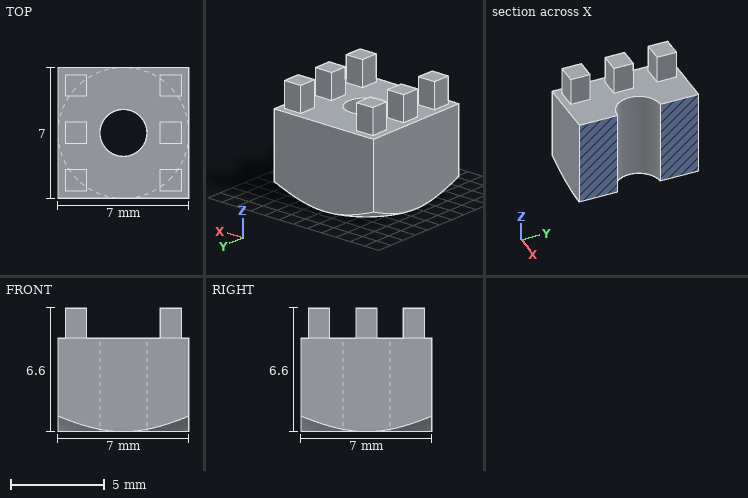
import cadquery as cq
import math

side = 7.0
total_height = 6.6
body_height = 5.0
hole_diameter = 2.5

pin_width = 1.14
pin_pitch = 2.535
pin_height = total_height - body_height

corner_slope_deg = 30.0
bottom_radius = side / 2
corner_radius = bottom_radius * math.sqrt(2)
corner_rise = (corner_radius - bottom_radius) * math.tan(math.radians(corner_slope_deg))


def make_body():
    """Square block whose bottom corners are turned to a cone tangent to its sides."""
    block = cq.Workplane("XY").box(side, side, body_height, centered=(True, True, False))
    turned_envelope = (
        cq.Workplane("XZ")
        .moveTo(0, 0)
        .lineTo(bottom_radius, 0)
        .lineTo(corner_radius, corner_rise)
        .lineTo(corner_radius, body_height)
        .lineTo(0, body_height)
        .close()
        .revolve(360, (0, 0, 0), (0, 1, 0))
    )
    return block.intersect(turned_envelope)


def make_pins():
    """Two rows of three pins, standing on the top face."""
    pin_centres = [
        (column * pin_pitch, row * pin_pitch)
        for column in (-1, 1)
        for row in (-1, 0, 1)
    ]
    return (
        cq.Workplane("XY", origin=(0, 0, body_height))
        .pushPoints(pin_centres)
        .rect(pin_width, pin_width)
        .extrude(pin_height)
    )


centre_hole = cq.Workplane("XY").circle(hole_diameter / 2).extrude(body_height)

result = make_body().cut(centre_hole).union(make_pins())